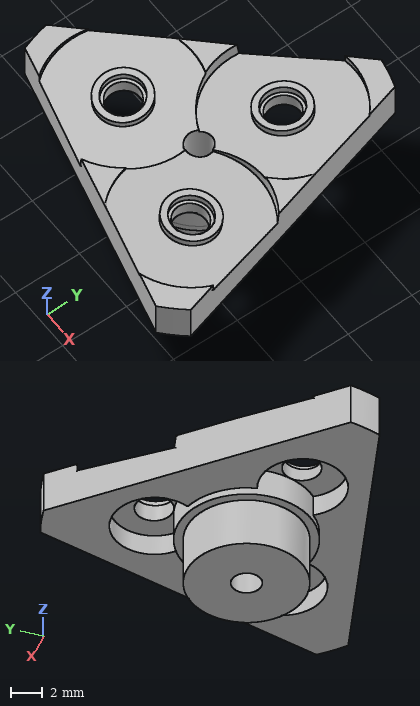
import cadquery as cq
import math

plate_thickness = 3.0
side_distance = 7.45
corner_radius = 13.0
plate_turn = -13.6
corner_count = 3

flange_diameter = 9.2
flange_height = 0.5
hub_diameter = 8.0
hub_height = 3.5
center_hole_diameter = 2.0

seat_x = 1.17
seat_y = 5.72
seat_diameter = 11.0
seat_depth = 0.45
seat_tilt = 5.0
seat_cut_height = 1.83
boss_diameter = 4.0
boss_height = 0.5
recess_diameter = 3.0
recess_depth = 0.5
pin_hole_diameter = 2.5
relief_diameter = 5.72
relief_depth = plate_thickness / 2

plate_bottom = -plate_thickness
flange_bottom = plate_bottom - flange_height
hub_bottom = flange_bottom - hub_height
seat_angles = [i * 360 / corner_count for i in range(corner_count)]


def make_plate():
    triangle_diameter = 4 * side_distance
    triangle = cq.Workplane("XY").polygon(corner_count, triangle_diameter).extrude(plate_bottom)
    triangle = triangle.rotate((0, 0, 0), (0, 0, 1), 90 + plate_turn)
    return triangle.intersect(upright_cylinder(2 * corner_radius, plate_bottom, 0))


def upright_cylinder(diameter, bottom, top, x=0, y=0):
    return cq.Workplane("XY", origin=(x, y, bottom)).circle(diameter / 2).extrude(top - bottom)


def seat_cylinder(diameter, bottom, top, turn):
    """Cylinder square to a seat floor, with heights measured from that floor."""
    tilt = math.radians(seat_tilt)
    floor = cq.Plane(
        origin=(seat_x, seat_y, -seat_depth),
        xDir=(math.cos(tilt), 0, math.sin(tilt)),
        normal=(-math.sin(tilt), 0, math.cos(tilt)),
    )
    cylinder = cq.Workplane(floor).workplane(offset=bottom).circle(diameter / 2).extrude(top - bottom)
    return cylinder.rotate((0, 0, 0), (0, 0, 1), turn)


def add_hub(body):
    body = body.union(upright_cylinder(flange_diameter, flange_bottom, plate_bottom))
    return body.union(upright_cylinder(hub_diameter, hub_bottom, flange_bottom))


def cut_seat(body, turn):
    return body.cut(seat_cylinder(seat_diameter, 0, seat_cut_height, turn))


def add_boss(body, turn):
    body = body.union(seat_cylinder(boss_diameter, 0, boss_height, turn))
    body = body.cut(seat_cylinder(recess_diameter, boss_height - recess_depth, seat_cut_height, turn))
    return body.cut(seat_cylinder(pin_hole_diameter, -relief_depth, seat_cut_height, turn))


def cut_relief(body, turn):
    relief = upright_cylinder(relief_diameter, plate_bottom, plate_bottom + relief_depth, seat_x, seat_y)
    core = upright_cylinder(flange_diameter, plate_bottom, 0)
    return body.cut(relief.cut(core).rotate((0, 0, 0), (0, 0, 1), turn))


result = add_hub(make_plate())
for seat_angle in seat_angles:
    result = cut_seat(result, seat_angle)
for seat_angle in seat_angles:
    result = add_boss(result, seat_angle)
    result = cut_relief(result, seat_angle)
result = result.cut(upright_cylinder(center_hole_diameter, hub_bottom, seat_cut_height))